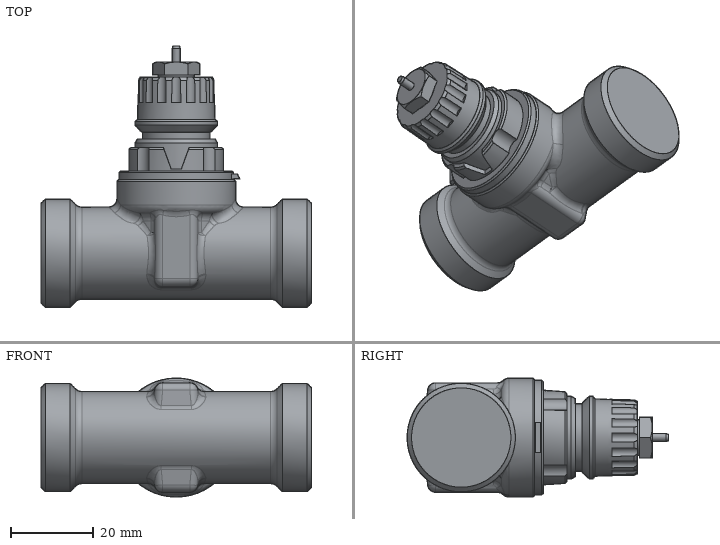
import cadquery as cq
import math

PIPE_LENGTH = 66.0
PIPE_RADIUS = 11.25
FLANGE_RADIUS = 13.2
FLANGE_CHAMFER = 1.1
FLANGE_WIDTH = 7.15
FLANGE_SLOPE = 1.3
FLANGE_FILLET_END = 23.0

BONNET_RADIUS = 14.5
BONNET_ROUND_START = 11.7
BONNET_ROUND = 2.2
SKIRT_RADIUS = 12.2
BONNET_TOP = 17.9
BONNET_CHAMFER = 0.4

RIB_HALF_WIDTH = 6.4
RIB_END = -9.3
RIB_HEIGHT = 13.35
RIB_DRAFT = 5.5
RIB_ROUND = 2.0
BLEND_RADIUS = 1.9
TOUCH_TOLERANCE = 0.001

RING_RADIUS = 14.0
RING_TOP = 20.0
RING_CHAMFER = 0.4
TAB_REACH = 15.5
TAB_BOTTOM = 18.1
TAB_TOP = 19.3
TAB_SLOPE = 0.6
TAB_HALF_WIDTH = 3.7

CASTLE_RADIUS = 11.55
CASTLE_TOP = 25.75
CASTLE_CHAMFER = 0.45
NOTCH_BOTTOM = 20.5
NOTCH_TOP_HALF_WIDTH = 3.15
NOTCH_BOTTOM_HALF_WIDTH = 1.24
CASTLE_FLUTE_RADIUS = 2.4
CASTLE_FLUTE_OFFSET = 12.8
CASTLE_FLUTE_COUNT = 4
CASTLE_FLUTE_START_ANGLE = 45.0

CORE_RADIUS = 10.1
CORE_SHOULDER_RADIUS = 9.5
CORE_SHOULDER = 26.8
CORE_TOP = 27.8
GROOVE_RADIUS = 8.25
GROOVE_TOP = 29.4
LIP_CONE_RADIUS = 8.6
LIP_CONE_BOTTOM = 29.6
LIP_BOTTOM = 31.2
LIP_TOP = 32.05
CAP_BOTTOM = 32.55

CAP_RADIUS = 9.45
CAP_TOP_RADIUS = 9.25
CAP_TOP = 42.9
CAP_CHAMFER_DEPTH = 0.4
CAP_CHAMFER_HEIGHT = 0.8
CAP_FLUTE_BOTTOM = 36.75
CAP_FLUTE_COUNT = 16
CAP_FLUTE_RADIUS = 1.3
CAP_FLUTE_OFFSET = 9.95

GLAND_NECK_RADIUS = 4.4
HEX_FLATS = 10.0
HEX_BOTTOM = 43.4
HEX_TOP = 46.6
HEX_CROWN_RADIUS = 4.9
HEX_CROWN_ANGLE = 30.0
PIN_RADIUS = 1.0
PIN_TOP = 50.5
PIN_CHAMFER_DEPTH = 0.2
PIN_CHAMFER_HEIGHT = 0.6


def cylinder_y(radius, bottom, top):
    """Cylinder along Y about the bonnet axis."""
    return cq.Workplane("XZ", origin=(0, bottom, 0)).circle(radius).extrude(bottom - top)


def chamfered_cylinder_y(radius, bottom, top, depth, height):
    """Cylinder along Y whose top edge is chamfered by depth (radial) and height (axial)."""
    outline = [(0, bottom), (radius, bottom), (radius, top - height), (radius - depth, top), (0, top)]
    return cq.Workplane("XY").polyline(outline).close().revolve(360, (0, 0), (0, 1))


def make_pipe():
    end = PIPE_LENGTH / 2
    shoulder = end - FLANGE_WIDTH
    cone_end = shoulder - FLANGE_SLOPE
    cone_radius = FLANGE_RADIUS - FLANGE_SLOPE
    mouth_radius = FLANGE_RADIUS - FLANGE_CHAMFER
    arc_run = cone_end - FLANGE_FILLET_END
    arc_rise = cone_radius - PIPE_RADIUS
    arc_radius = (arc_run**2 + arc_rise**2) / (2 * arc_rise)
    return (
        cq.Workplane("XY")
        .moveTo(-end, 0)
        .lineTo(-end, -mouth_radius)
        .lineTo(-end + FLANGE_CHAMFER, -FLANGE_RADIUS)
        .lineTo(-shoulder, -FLANGE_RADIUS)
        .lineTo(-cone_end, -cone_radius)
        .radiusArc((-FLANGE_FILLET_END, -PIPE_RADIUS), arc_radius)
        .lineTo(FLANGE_FILLET_END, -PIPE_RADIUS)
        .radiusArc((cone_end, -cone_radius), arc_radius)
        .lineTo(shoulder, -FLANGE_RADIUS)
        .lineTo(end - FLANGE_CHAMFER, -FLANGE_RADIUS)
        .lineTo(end, -mouth_radius)
        .lineTo(end, 0)
        .close()
        .revolve(360, (0, 0), (1, 0))
    )


def make_bonnet():
    """Bonnet drum that narrows through an S-curve to a skirt ending inside the pipe."""
    arc_step = (BONNET_RADIUS - SKIRT_RADIUS) / 2
    arc_height = math.sqrt(2 * BONNET_ROUND * arc_step - arc_step**2)
    arc_middle = (SKIRT_RADIUS + arc_step, BONNET_ROUND_START - arc_height)
    return (
        cq.Workplane("XY")
        .lineTo(SKIRT_RADIUS, 0)
        .lineTo(SKIRT_RADIUS, BONNET_ROUND_START - 2 * arc_height)
        .radiusArc(arc_middle, BONNET_ROUND)
        .radiusArc((BONNET_RADIUS, BONNET_ROUND_START), -BONNET_ROUND)
        .lineTo(BONNET_RADIUS, BONNET_TOP - BONNET_CHAMFER)
        .lineTo(BONNET_RADIUS - BONNET_CHAMFER, BONNET_TOP)
        .lineTo(0, BONNET_TOP)
        .close()
        .revolve(360, (0, 0), (0, 1))
    )


def make_rib():
    """Drafted rib on the +Z side with rounded top and end edges, running into the bonnet."""
    inner_end = (BONNET_ROUND_START + BONNET_TOP) / 2
    rib = (
        cq.Workplane("XY")
        .center(0, (RIB_END + inner_end) / 2)
        .rect(2 * RIB_HALF_WIDTH, inner_end - RIB_END)
        .extrude(RIB_HEIGHT, taper=RIB_DRAFT)
    )
    return rib.faces(">Z or <Y").edges("not <Z").edges("not >Y").fillet(RIB_ROUND)


def lies_on(part, point):
    """True where a point is on the outer surface of a part."""
    return part.val().Shells()[0].distance(cq.Vertex.makeVertex(*point.toTuple())) < TOUCH_TOLERANCE


def make_body():
    """Pipe, bonnet and both ribs, blended along the edges where they meet."""
    rib = make_rib()
    parts = [make_pipe(), make_bonnet(), rib, rib.mirror("XY")]
    body = parts[0]
    for part in parts[1:]:
        body = body.union(part)
    joints = []
    for edge in body.edges().vals():
        middle = edge.positionAt(0.5)
        if sum(lies_on(part, middle) for part in parts) > 1:
            joints.append(edge)
    return body.newObject(joints).fillet(BLEND_RADIUS)


def make_ring():
    ring = chamfered_cylinder_y(RING_RADIUS, BONNET_TOP, RING_TOP, RING_CHAMFER, RING_CHAMFER)
    tab_outline = [
        (0, TAB_BOTTOM),
        (TAB_REACH, TAB_BOTTOM),
        (TAB_REACH - TAB_SLOPE, TAB_TOP),
        (0, TAB_TOP),
    ]
    tab = cq.Workplane("XY").polyline(tab_outline).close().extrude(TAB_HALF_WIDTH, both=True)
    return ring.union(tab)


def make_castle():
    castle = chamfered_cylinder_y(CASTLE_RADIUS, RING_TOP, CASTLE_TOP, CASTLE_CHAMFER, CASTLE_CHAMFER)
    notch_outline = [
        (-NOTCH_BOTTOM_HALF_WIDTH, NOTCH_BOTTOM),
        (NOTCH_BOTTOM_HALF_WIDTH, NOTCH_BOTTOM),
        (NOTCH_TOP_HALF_WIDTH, CASTLE_TOP),
        (-NOTCH_TOP_HALF_WIDTH, CASTLE_TOP),
    ]
    notches = cq.Workplane("XY").polyline(notch_outline).close().extrude(CASTLE_RADIUS, both=True)
    flutes = (
        cq.Workplane("XZ", origin=(0, RING_TOP, 0))
        .polarArray(CASTLE_FLUTE_OFFSET, CASTLE_FLUTE_START_ANGLE, 360, CASTLE_FLUTE_COUNT)
        .circle(CASTLE_FLUTE_RADIUS)
        .extrude(RING_TOP - CASTLE_TOP)
    )
    return castle.cut(notches).cut(flutes)


def make_core():
    """Turned core: shoulder, groove and lip between the castle ring and the cap."""
    outline = [
        (0, RING_TOP),
        (CORE_RADIUS, RING_TOP),
        (CORE_RADIUS, CORE_SHOULDER),
        (CORE_SHOULDER_RADIUS, CORE_TOP),
        (GROOVE_RADIUS, CORE_TOP),
        (GROOVE_RADIUS, GROOVE_TOP),
        (LIP_CONE_RADIUS, LIP_CONE_BOTTOM),
        (CORE_RADIUS, LIP_BOTTOM),
        (CORE_RADIUS, LIP_TOP),
        (CORE_SHOULDER_RADIUS, CAP_BOTTOM),
        (0, CAP_BOTTOM),
    ]
    return cq.Workplane("XY").polyline(outline).close().revolve(360, (0, 0), (0, 1))


def make_cap():
    outline = [
        (0, CAP_BOTTOM),
        (CAP_RADIUS, CAP_BOTTOM),
        (CAP_TOP_RADIUS, CAP_TOP - CAP_CHAMFER_HEIGHT),
        (CAP_TOP_RADIUS - CAP_CHAMFER_DEPTH, CAP_TOP),
        (0, CAP_TOP),
    ]
    cap = cq.Workplane("XY").polyline(outline).close().revolve(360, (0, 0), (0, 1))
    flutes = (
        cq.Workplane("XZ", origin=(0, CAP_FLUTE_BOTTOM, 0))
        .polarArray(CAP_FLUTE_OFFSET, 0, 360, CAP_FLUTE_COUNT)
        .circle(CAP_FLUTE_RADIUS)
        .extrude(CAP_FLUTE_BOTTOM - CAP_TOP)
    )
    return cap.cut(flutes)


def make_gland_nut():
    """Hexagon nut with corners on the X axis and a conical crown, on a short neck."""
    corner_radius = HEX_FLATS / 2 / math.cos(math.pi / 6)
    crown_depth = corner_radius - HEX_CROWN_RADIUS
    crown_height = crown_depth * math.tan(math.radians(HEX_CROWN_ANGLE))
    hexagon = (
        cq.Workplane("XZ", origin=(0, HEX_BOTTOM, 0))
        .polygon(6, 2 * corner_radius)
        .extrude(HEX_BOTTOM - HEX_TOP)
    )
    crown = chamfered_cylinder_y(corner_radius, HEX_BOTTOM, HEX_TOP, crown_depth, crown_height)
    neck = cylinder_y(GLAND_NECK_RADIUS, CAP_TOP, HEX_BOTTOM)
    return hexagon.intersect(crown).union(neck)


def make_pin():
    return chamfered_cylinder_y(PIN_RADIUS, HEX_TOP, PIN_TOP, PIN_CHAMFER_DEPTH, PIN_CHAMFER_HEIGHT)


result = make_body()
for section in (make_ring(), make_castle(), make_core(), make_cap(), make_gland_nut(), make_pin()):
    result = result.union(section)